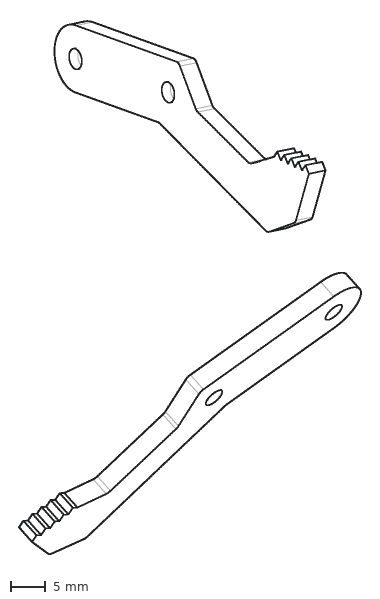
import cadquery as cq

thickness = 3.0
end_radius = 5.0
overall_length = 60.45
overall_height = 20.5

hole_diameter = 3.0
hole_spacing = 22.0

corner_radius = 1.0

shoulder = (24.5, end_radius)
neck = (28.7, -1.2)
throat = (41.4, -6.3)
lower_bend = (19.8, -end_radius)
heel_relief = 0.09
heel = (45.6, end_radius - overall_height - heel_relief)
toe = (52.2, -12.6)

tooth_count = 5
tooth_row_length = 8.35
tooth_row_drop = 0.65
tooth_pitch = tooth_row_length / tooth_count
tooth_drop = tooth_row_drop / tooth_count
tip = (overall_length - end_radius, -4.6)
peak_advance = 0.85
peak_rise = 0.95


def tooth_points():
    """Return root and peak points of the teeth, from the throat side to the tip."""
    root_x = tip[0] - tooth_count * tooth_pitch
    root_z = tip[1] + tooth_count * tooth_drop
    points = [(root_x, root_z)]
    for _ in range(tooth_count):
        points.append((root_x + peak_advance, root_z + peak_rise))
        root_x += tooth_pitch
        root_z -= tooth_drop
        points.append((root_x, root_z))
    return points


def lever_plate():
    """Extrude the outline symmetrically about the XZ plane."""
    profile = cq.Workplane("XZ").moveTo(0, end_radius)
    for point in [shoulder, neck, throat] + tooth_points() + [toe, heel, lower_bend]:
        profile = profile.lineTo(*point)
    profile = profile.lineTo(0, -end_radius)
    profile = profile.threePointArc((-end_radius, 0), (0, end_radius)).close()
    return profile.extrude(thickness / 2, both=True)


def round_corners(plate):
    """Round the plain outline corners, leaving the teeth sharp."""
    for x, z in (shoulder, neck, throat, lower_bend, heel, toe):
        corner = cq.selectors.NearestToPointSelector((x, 0, z))
        plate = plate.edges("|Y").edges(corner).fillet(corner_radius)
    return plate


def pivot_holes():
    """Cutters for the two through holes on the centreline of the straight arm."""
    holes = cq.Workplane("XZ").pushPoints([(0, 0), (hole_spacing, 0)])
    return holes.circle(hole_diameter / 2).extrude(thickness, both=True)


result = round_corners(lever_plate()).cut(pivot_holes())